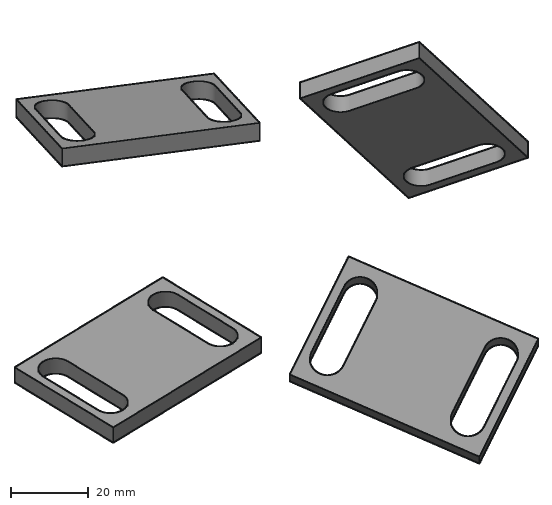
import cadquery as cq

plate_width = 36.0
plate_length = 54.0
plate_thickness = 5.0

slot_length = 29.0
slot_width = 9.0
slot_spacing = 40.0


def make_plate():
    """Flat rectangular plate centred on the origin."""
    return cq.Workplane("XY").box(plate_width, plate_length, plate_thickness)


def cut_slots(plate):
    """Cut the round-ended slots, placed symmetrically about the plate centre."""
    slot_centers = [(0, -slot_spacing / 2), (0, slot_spacing / 2)]
    return (
        plate.faces(">Z")
        .workplane()
        .pushPoints(slot_centers)
        .slot2D(slot_length, slot_width)
        .cutThruAll()
    )


result = cut_slots(make_plate())